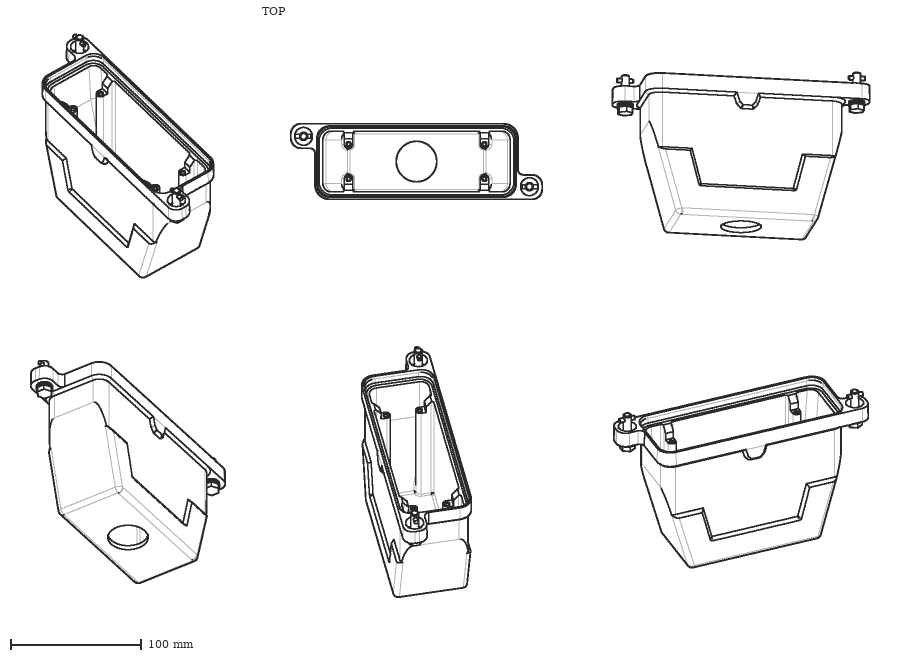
import cadquery as cq
import math

FLANGE_TOP = 111.2
FLANGE_BOTTOM = 98.8
SLOPE_TOP = 75.3
LEDGE_Z = 102.9
FLOOR_Z = 3.9

BODY_X, BODY_Y, BODY_CORNER = 150.5, 53.3, 8.9
FLANGE_X, FLANGE_Y, FLANGE_CORNER = 156.0, 58.0, 11.2
FLANGE_DRAFT = 1.0
BOTTOM_X = 109.6
LOWER_FILLET = 4.0
PAD_THICKNESS = (FLANGE_Y - BODY_Y) / 2

PAD_TOP = 52.7
PAD_TOP_HALF_GAP = 43.0
PAD_DIP_Z = 24.7
PAD_DIP_HALF = 35.9

BUMP_TOP_HALF, BUMP_SHOULDER_HALF, BUMP_BOTTOM_HALF = 8.5, 6.2, 3.7
BUMP_SHOULDER_Z, BUMP_BOTTOM_Z = 91.7, 89.0

RIM_CORNER = 9.6
RIM_STEPS = [(152.9, 54.6, RIM_CORNER, FLANGE_TOP), (151.7, 53.5, RIM_CORNER, 109.0),
             (151.7, 53.5, RIM_CORNER, 104.5), (149.4, 51.1, RIM_CORNER, LEDGE_Z)]

CAVITY_X, CAVITY_Y, CAVITY_CORNER = 143.5, 46.7, 6.5
CAVITY_BEND_X, CAVITY_BEND_Z = 139.0, 68.5
CAVITY_FLOOR_X = 105.8
CAVITY_FILLET = 2.0
FOOT_FILLET = 1.2
CABLE_HOLE_DIAMETER = 30.9

BOSS_X, BOSS_Y = 52.1, 13.3
BOSS_WIDTH = 6.5
BOSS_TOP = 91.9
BOSS_FOOT_TOP = 19.3
RISER_Y, RISER_Z = 17.5, 97.7
SHOULDER_Y = 22.0
SCREW_HOLE_DIAMETER, SCREW_HOLE_DEPTH = 2.7, 15.5
SCREW_COUNTERSINK = 0.5
EDGE_MARGIN = 0.2

TAB_END_X = 96.5
TAB_WIDTH = 19.0
TAB_CORNER = 7.7
TAB_ROOT_FILLET = 3.9
PIN_X, PIN_Y = 86.7, 19.3
POCKET_DIAMETER = 13.7
POCKET_FLOOR_Z = 101.1
PIN_TOP = 122.0
PIN_DIAMETER, PIN_CHAMFER = 6.2, 0.8
BAR_Z, BAR_DIAMETER, BAR_LENGTH = 118.0, 3.3, 12.7
WASHER_DIAMETER, WASHER_HEIGHT = 12.4, 2.9
KNURL_COUNT, KNURL_DEPTH = 24, 0.48
HEX_ACROSS_FLATS, HEX_BOTTOM = 10.5, 91.7


def rounded_rectangle(length, width, corner):
    return cq.Sketch().rect(length, width).vertices().fillet(corner)


def rounded_block(length, width, corner, z_low, z_high, draft=0):
    base = cq.Workplane("XY").workplane(offset=z_low)
    return base.placeSketch(rounded_rectangle(length, width, corner)).extrude(z_high - z_low, taper=draft)


def rounded_loft(low, high):
    """Loft between two rounded rectangles, each given as (length, width, corner, z)."""
    sketches = []
    for length, width, corner, z in (low, high):
        sketches.append(rounded_rectangle(length, width, corner).moved(cq.Location(cq.Vector(0, 0, z))))
    return cq.Workplane("XY").placeSketch(*sketches).loft()


def mirrored_prism(half_outline, width):
    """Prism along Y whose outline is the given (x, z) points plus their mirror image in X."""
    outline = half_outline + [(-x, z) for x, z in reversed(half_outline)]
    return cq.Workplane("XZ").polyline(outline).close().extrude(width / 2, both=True)


def on_both_sides(shape):
    return shape.union(shape.rotate((0, 0, 0), (0, 0, 1), 180))


def upper_body():
    body = rounded_block(BODY_X, BODY_Y, BODY_CORNER, PAD_TOP, FLANGE_BOTTOM)
    ends = [(BOTTOM_X / 2, 0), (BODY_X / 2, SLOPE_TOP), (BODY_X / 2, FLANGE_TOP)]
    return body.intersect(mirrored_prism(ends, BODY_Y))


def lower_pads():
    """Thicker lower shell, relieved above the stepped outline with a 45 degree edge."""
    slope = (BODY_X - BOTTOM_X) / 2 / SLOPE_TOP
    top_half = BOTTOM_X / 2 + slope * PAD_TOP
    shell = mirrored_prism([(BOTTOM_X / 2, 0), (top_half, PAD_TOP)], FLANGE_Y)
    shell = shell.edges("not(#Z)").fillet(LOWER_FILLET)
    shell = shell.faces("<Z").edges().fillet(LOWER_FILLET)

    relief_outline = [(-BODY_X, PAD_TOP), (-PAD_TOP_HALF_GAP, PAD_TOP), (-PAD_DIP_HALF, PAD_DIP_Z),
                      (PAD_DIP_HALF, PAD_DIP_Z), (PAD_TOP_HALF_GAP, PAD_TOP), (BODY_X, PAD_TOP),
                      (BODY_X, FLANGE_TOP), (-BODY_X, FLANGE_TOP)]
    relief = (cq.Workplane("XZ", origin=(0, -BODY_Y / 2, 0)).polyline(relief_outline).close()
              .extrude(PAD_THICKNESS, taper=-45))
    return shell.cut(on_both_sides(relief))


def latch_bumps():
    half = [(BUMP_TOP_HALF, FLANGE_BOTTOM), (BUMP_SHOULDER_HALF, BUMP_SHOULDER_Z),
            (BUMP_BOTTOM_HALF, BUMP_BOTTOM_Z)]
    outline = half + [(-x, z) for x, z in reversed(half)]
    bump = (cq.Workplane("XZ", origin=(0, -FLANGE_Y / 2, 0)).polyline(outline).close()
            .extrude(-PAD_THICKNESS, taper=-45))
    below_flange = cq.Workplane("XY").box(FLANGE_X, FLANGE_Y, FLANGE_BOTTOM, centered=(True, True, False))
    return on_both_sides(bump.intersect(below_flange))


def flange():
    height = FLANGE_TOP - FLANGE_BOTTOM
    plate = rounded_block(FLANGE_X, FLANGE_Y, FLANGE_CORNER, FLANGE_BOTTOM, FLANGE_TOP, FLANGE_DRAFT)
    flare = rounded_loft((BODY_X, BODY_Y, BODY_CORNER, FLANGE_BOTTOM - PAD_THICKNESS),
                         (FLANGE_X, FLANGE_Y, FLANGE_CORNER, FLANGE_BOTTOM))
    side = -FLANGE_Y / 2
    tab_inner = side + TAB_WIDTH
    wall = FLANGE_X / 2
    root = TAB_ROOT_FILLET
    tab_start = wall - 2 * FLANGE_CORNER
    tab = (cq.Workplane("XY").workplane(offset=FLANGE_BOTTOM)
           .moveTo(tab_start, side)
           .lineTo(TAB_END_X - TAB_CORNER, side)
           .radiusArc((TAB_END_X, side + TAB_CORNER), -TAB_CORNER)
           .lineTo(TAB_END_X, tab_inner - TAB_CORNER)
           .radiusArc((TAB_END_X - TAB_CORNER, tab_inner), -TAB_CORNER)
           .lineTo(wall + root, tab_inner)
           .radiusArc((wall, tab_inner + root), root)
           .lineTo(tab_start, tab_inner + root)
           .close().extrude(height, taper=FLANGE_DRAFT))
    pocket = (cq.Workplane("XY", origin=(PIN_X, -PIN_Y, POCKET_FLOOR_Z))
              .circle(POCKET_DIAMETER / 2).extrude(FLANGE_TOP - POCKET_FLOOR_Z))
    return plate.union(flare).union(on_both_sides(tab.cut(pocket)))


def boss_post():
    """Upright of the boss at +X, +Y, running into the long wall."""
    radius = BOSS_WIDTH / 2
    return (cq.Workplane("XY").moveTo(BOSS_X - radius, BODY_Y / 2).lineTo(BOSS_X - radius, BOSS_Y)
            .threePointArc((BOSS_X, BOSS_Y - radius), (BOSS_X + radius, BOSS_Y))
            .lineTo(BOSS_X + radius, BODY_Y / 2).close().extrude(LEDGE_Z))


def boss_root():
    """Concave flares on both sides of the post where it meets the long wall."""
    half_width = BOSS_WIDTH / 2 + CAVITY_FILLET
    inner_y = CAVITY_Y / 2 - CAVITY_FILLET
    root = (cq.Workplane("XY").moveTo(BOSS_X - half_width, inner_y)
            .lineTo(BOSS_X + half_width, inner_y).lineTo(BOSS_X + half_width, BODY_Y / 2)
            .lineTo(BOSS_X - half_width, BODY_Y / 2).close().extrude(LEDGE_Z))
    hollows = (cq.Workplane("XY")
               .pushPoints([(BOSS_X - half_width, inner_y), (BOSS_X + half_width, inner_y)])
               .circle(CAVITY_FILLET).extrude(LEDGE_Z))
    return root.cut(hollows)


def boss_foot():
    """Post standing on the floor and the leaning end wall, filleted where it meets them."""
    ground = (cq.Workplane("XZ", origin=(0, BODY_Y / 2, 0))
              .polyline([(0, 0), (BODY_X / 2, 0), (BODY_X / 2, CAVITY_BEND_Z),
                         (CAVITY_BEND_X / 2, CAVITY_BEND_Z), (CAVITY_FLOOR_X / 2, FLOOR_Z), (0, FLOOR_Z)])
              .close().extrude(BODY_Y / 2))
    reach = BOSS_WIDTH / 2 + EDGE_MARGIN
    contact = cq.selectors.BoxSelector(
        (BOSS_X - reach, BOSS_Y - reach, FLOOR_Z - EDGE_MARGIN),
        (BOSS_X + reach, BODY_Y / 2 - EDGE_MARGIN, BOSS_FOOT_TOP))
    return ground.union(boss_post()).edges(contact).fillet(FOOT_FILLET)


def screw_boss_parts():
    """Foot and wall flares of the boss at +X, +Y, with the sloped shoulder above its screw face."""
    stepped = [(0, 0), (0, BOSS_TOP), (RISER_Y, BOSS_TOP), (RISER_Y, RISER_Z),
               (SHOULDER_Y, LEDGE_Z), (BODY_Y / 2, LEDGE_Z), (BODY_Y / 2, 0)]
    side_shape = cq.Workplane("YZ").polyline(stepped).close().extrude(BODY_X / 2)
    return [part.intersect(side_shape) for part in (boss_foot(), boss_root())]


def screw_hole(x, y):
    hole = (cq.Workplane("XY", origin=(x, y, BOSS_TOP - SCREW_HOLE_DEPTH))
            .circle(SCREW_HOLE_DIAMETER / 2).extrude(SCREW_HOLE_DEPTH))
    mouth_radius = SCREW_HOLE_DIAMETER / 2 + SCREW_COUNTERSINK
    countersink = cq.Solid.makeCone(mouth_radius, SCREW_HOLE_DIAMETER / 2, SCREW_COUNTERSINK,
                                    cq.Vector(x, y, BOSS_TOP), cq.Vector(0, 0, -1))
    return hole.union(cq.Workplane(countersink))


def cavity():
    """Everything hollow: the room around the bosses, the stepped rim and the holes."""
    ends = [(CAVITY_FLOOR_X / 2, FLOOR_Z), (CAVITY_BEND_X / 2, CAVITY_BEND_Z), (CAVITY_X / 2, LEDGE_Z)]
    room = mirrored_prism(ends, CAVITY_Y)
    room = room.edges("not(#Z)").fillet(CAVITY_CORNER)
    room = room.faces("<Z").edges().fillet(CAVITY_FILLET)

    for part in screw_boss_parts():
        pair = part.union(part.mirror("YZ"))
        room = room.cut(pair).cut(pair.mirror("XZ"))

    hollow = room.union(cq.Workplane("XY").circle(CABLE_HOLE_DIAMETER / 2).extrude(LEDGE_Z))
    for upper, lower in zip(RIM_STEPS, RIM_STEPS[1:]):
        hollow = hollow.union(rounded_loft(lower, upper))
    for x in (-BOSS_X, BOSS_X):
        for y in (-BOSS_Y, BOSS_Y):
            hollow = hollow.union(screw_hole(x, y))
    return hollow


def locking_pin():
    """Pin of the +X tab with cross bar, knurled washer and hexagonal foot."""
    axis = cq.Workplane("XY", origin=(PIN_X, -PIN_Y, 0))
    washer_bottom = FLANGE_BOTTOM - WASHER_HEIGHT
    pin = (axis.workplane(offset=HEX_BOTTOM).circle(PIN_DIAMETER / 2).extrude(PIN_TOP - HEX_BOTTOM)
           .faces(">Z").edges().chamfer(PIN_CHAMFER))
    bar = (cq.Workplane("YZ", origin=(PIN_X - BAR_LENGTH / 2, -PIN_Y, BAR_Z))
           .circle(BAR_DIAMETER / 2).extrude(BAR_LENGTH)
           .faces("<X").edges().chamfer(PIN_CHAMFER))
    washer = axis.workplane(offset=washer_bottom).circle(WASHER_DIAMETER / 2).extrude(WASHER_HEIGHT)
    knurls = (axis.workplane(offset=washer_bottom)
              .polarArray(WASHER_DIAMETER / 2, 0, 360, KNURL_COUNT)
              .circle(KNURL_DEPTH).extrude(WASHER_HEIGHT))
    hexagon = (axis.workplane(offset=HEX_BOTTOM).transformed(rotate=(0, 0, 90))
               .polygon(6, HEX_ACROSS_FLATS / math.cos(math.pi / 6))
               .extrude(washer_bottom - HEX_BOTTOM))
    return pin.union(bar).union(washer.cut(knurls)).union(hexagon)


housing = upper_body().union(lower_pads()).union(latch_bumps()).union(flange())
housing = housing.cut(cavity())
result = housing.union(on_both_sides(locking_pin()))